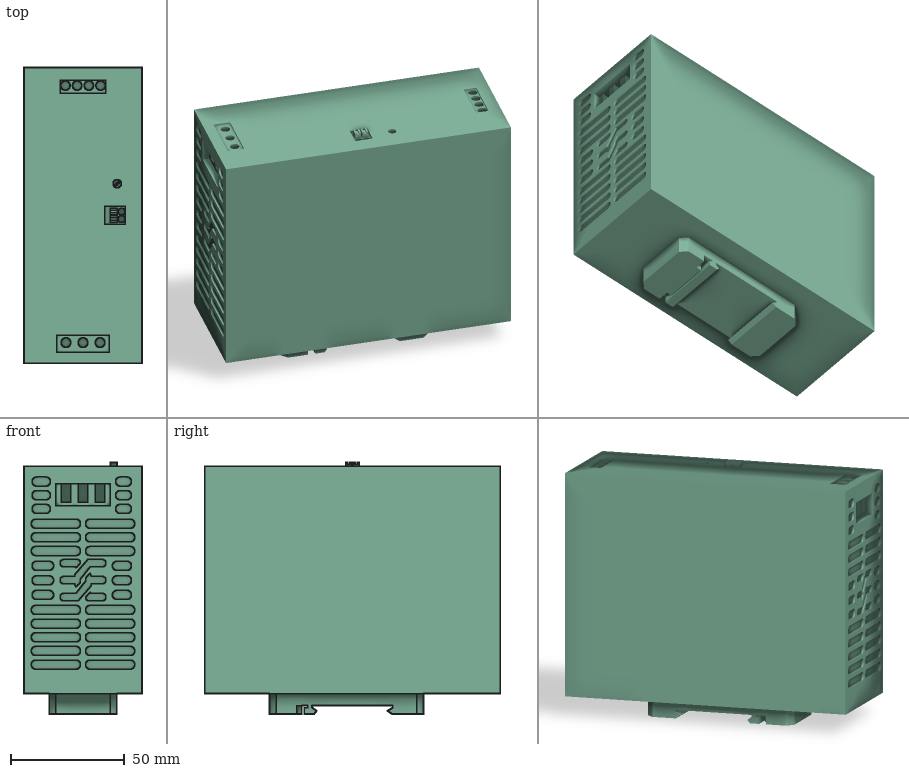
import cadquery as cq
import math


width = 52.0
length = 130.0
height = 100.0
front_y = -length / 2
back_y = length / 2

vent_depth = 1.0
slot_height = 4.0
slot_pitch = 6.0
long_slot_inner_x = 1.1
long_slot_outer_x = 22.75
upper_long_top_z = 74.7
upper_long_rows = 3
lower_long_top_z = 36.8
lower_long_rows = 5
short_slot_left_x = -22.4
short_slot_right_x = 21.3
top_short_inner_x = 14.3
top_short_z = 93.2
mid_short_inner_x = 12.9
mid_short_z = 56.2
mid_short_pitch = 6.4
short_rows = 3

slant_centre_z = 49.9
tab_half_height = 1.65
tab_end_x = 10.1
tab_offset_z = 7.45
tab_corner_x = -2.3
tab_nose = (-1.5, 8.6)
tab_tip = (-1.2, 7.4)
tab_point = (-3.1, 5.4)
tab_notch_x = -3.5
stroke_top_x = 2.1
stroke_foot = (-3.5, 2.6)
stroke_foot_x = -3.6
stroke_point_root_x = -3.7
stroke_point = (-3.1, -3.0)
stroke_side_x = -1.2
stroke_side_bottom_z = -1.1
stroke_side_top_z = 0.4
stroke_armpit_x = 3.1

input_pitch = 7.5
input_count = 3
input_recess_width = 23.0
input_recess_length = 7.5
input_recess_y = -56.45
input_screw_y = -55.9
input_screw_diameter = 4.2
input_screw_depth = 2.5
entry_recess_width = 24.0
entry_recess_top_z = 92.3
entry_recess_height = 9.8
entry_recess_depth = 3.0
entry_width = 4.25
entry_height = 8.1
entry_depth = 8.0

output_pitch = 5.15
output_count = 4
output_recess_width = 20.1
output_recess_length = 5.7
output_recess_y = 56.4
output_screw_y = 57.0
output_screw_diameter = 4.1
output_screw_depth = 2.0

terminal_recess_depth = 0.7

panel_front_y = -21.4
panel_front_half_width = 18.6
panel_corner_radius = 5.0
control_x = 15.0
lamp_y = 26.1
lamp_diameter = 6.2
trimmer_y = 13.9
trimmer_diameter = 3.6
trimmer_depth = 2.5
trimmer_slot_width = 0.7
trimmer_slot_depth = 0.5
trimmer_slot_angle = 40.0

connector_x = 14.1
connector_width = 8.9
connector_length = 8.0
connector_depth = 1.0
connector_pitch = 3.3
lever_left_x = 12.0
lever_right_x = 15.0
lever_thickness = 2.8
lever_rise = 1.6
lever_notch_width = 1.0
lever_notch_depth = 0.75
wire_hole_x = 16.95
wire_hole_diameter = 3.0
wire_hole_depth = 5.0

foot_width = 29.8
foot_height = 9.0
foot_back_y = 31.2
foot_front_y = -36.5
foot_chamfer = 3.0
rail_ceiling_z = -5.2
rail_back_y = 17.65
rail_front_y = -24.5
hook_tip_y = 15.3
tip_z = -7.5
hook_root_z = -6.1
hook_bottom_y = 17.4
latch_tip_y = -15.7
latch_bottom_y = -16.9
latch_neck_back_y = -17.7
latch_neck_front_y = -19.7
latch_shoulder_z = hook_root_z
latch_front_y = -21.2
latch_stop_y = -22.2
latch_stop_width = 20.0


def row(count, pitch):
    """Positions of `count` items spaced by `pitch` and centred on zero."""
    return [(i - (count - 1) / 2) * pitch for i in range(count)]


def cutter_from_front(outline, depth):
    """Prism of a closed X-Z outline sunk from the front face."""
    return outline.extrude(-depth)


def front_plane():
    return cq.Workplane("XZ", origin=(0, front_y, 0))


def top_plane(z=height):
    return cq.Workplane("XY", origin=(0, 0, z))


def vent_slot(x_start, x_end, z):
    outline = front_plane().center((x_start + x_end) / 2, z).slot2D(x_end - x_start, slot_height)
    return cutter_from_front(outline, vent_depth)


def vent_slots():
    long_rows = [upper_long_top_z - i * slot_pitch for i in range(upper_long_rows)]
    long_rows += [lower_long_top_z - i * slot_pitch for i in range(lower_long_rows)]
    slots = []
    for z in long_rows:
        slots.append(vent_slot(-long_slot_outer_x, -long_slot_inner_x, z))
        slots.append(vent_slot(long_slot_inner_x, long_slot_outer_x, z))
    for i in range(short_rows):
        top_z = top_short_z - i * slot_pitch
        slots.append(vent_slot(short_slot_left_x, -top_short_inner_x, top_z))
        slots.append(vent_slot(top_short_inner_x, short_slot_right_x, top_z))
        mid_z = mid_short_z - i * mid_short_pitch
        slots.append(vent_slot(short_slot_left_x, -mid_short_inner_x, mid_z))
        slots.append(vent_slot(mid_short_inner_x, short_slot_right_x, mid_z))
    return slots


def slanted_vents():
    """Two slanted outlines, each also turned half a turn about the centre."""
    r = tab_half_height
    tab_top = tab_offset_z + r
    tab_bottom = tab_offset_z - r
    end_x = tab_end_x - r
    tab = (
        front_plane()
        .center(0, slant_centre_z)
        .moveTo(-end_x, tab_top)
        .lineTo(tab_corner_x, tab_top)
        .threePointArc(tab_nose, tab_tip)
        .lineTo(*tab_point)
        .lineTo(tab_notch_x, tab_bottom)
        .lineTo(-end_x, tab_bottom)
        .threePointArc((-tab_end_x, tab_offset_z), (-end_x, tab_top))
        .close()
    )
    stroke = (
        front_plane()
        .center(0, slant_centre_z)
        .moveTo(end_x, tab_top)
        .lineTo(stroke_top_x, tab_top)
        .lineTo(*stroke_foot)
        .lineTo(stroke_foot_x, r)
        .lineTo(-end_x, r)
        .threePointArc((-tab_end_x, 0), (-end_x, -r))
        .lineTo(stroke_point_root_x, -r)
        .lineTo(*stroke_point)
        .lineTo(stroke_side_x, stroke_side_bottom_z)
        .lineTo(stroke_side_x, stroke_side_top_z)
        .lineTo(stroke_armpit_x, tab_bottom)
        .lineTo(end_x, tab_bottom)
        .threePointArc((tab_end_x, tab_offset_z), (end_x, tab_top))
        .close()
    )
    vents = []
    for outline in (tab, stroke):
        vent = cutter_from_front(outline, vent_depth)
        vents.append(vent)
        vents.append(vent.rotate((0, 0, slant_centre_z), (0, 1, slant_centre_z), 180))
    return vents


def wire_entries():
    recess = (
        front_plane()
        .center(0, entry_recess_top_z - entry_recess_height / 2)
        .rect(entry_recess_width, entry_recess_height)
    )
    entries = (
        front_plane()
        .center(0, entry_recess_top_z - entry_height / 2)
        .pushPoints([(x, 0) for x in row(input_count, input_pitch)])
        .rect(entry_width, entry_height)
    )
    return [
        cutter_from_front(recess, entry_recess_depth),
        cutter_from_front(entries, entry_recess_depth + entry_depth),
    ]


def screw_terminal(recess_y, recess_width, recess_length, screw_y, screw_xs, diameter, depth):
    recess = top_plane().center(0, recess_y).rect(recess_width, recess_length)
    screws = top_plane().pushPoints([(x, screw_y) for x in screw_xs]).circle(diameter / 2)
    return [
        recess.extrude(-terminal_recess_depth),
        screws.extrude(-terminal_recess_depth - depth),
    ]


def trimmer():
    well = top_plane().center(control_x, trimmer_y).circle(trimmer_diameter / 2)
    slot = (
        top_plane()
        .center(control_x, trimmer_y)
        .transformed(rotate=(0, 0, trimmer_slot_angle))
        .slot2D(trimmer_diameter, trimmer_slot_width)
    )
    return [well.extrude(-trimmer_depth), slot.extrude(-trimmer_depth - trimmer_slot_depth)]


def connector_cuts():
    recess = top_plane().center(connector_x, 0).rect(connector_width, connector_length)
    holes = (
        top_plane()
        .pushPoints([(wire_hole_x, y) for y in row(2, connector_pitch)])
        .circle(wire_hole_diameter / 2)
    )
    return [recess.extrude(-connector_depth), holes.extrude(-connector_depth - wire_hole_depth)]


def lever(y):
    """Lever with a screwdriver notch along X, standing on the connector recess floor."""
    middle_x = (lever_left_x + lever_right_x) / 2
    lever_length = lever_right_x - lever_left_x
    body = (
        top_plane(height - connector_depth)
        .center(middle_x, y)
        .rect(lever_length, lever_thickness)
        .extrude(connector_depth + lever_rise)
    )
    notch = (
        top_plane(height + lever_rise)
        .center(middle_x, y)
        .rect(lever_length, lever_notch_width)
        .extrude(-lever_notch_depth)
    )
    return body.cut(notch)


def panel_outline():
    """Flush tapered panel: full width at the back edge, rounded corners in front."""
    half_width = width / 2
    taper = math.atan2(half_width - panel_front_half_width, back_y - panel_front_y)
    tangent = panel_corner_radius * math.tan((math.pi / 2 - taper) / 2)
    side_x = panel_front_half_width + tangent * math.sin(taper)
    side_y = panel_front_y + tangent * math.cos(taper)
    front_x = panel_front_half_width - tangent
    return (
        top_plane()
        .moveTo(-half_width, back_y)
        .lineTo(-side_x, side_y)
        .radiusArc((-front_x, panel_front_y), -panel_corner_radius)
        .lineTo(front_x, panel_front_y)
        .radiusArc((side_x, side_y), -panel_corner_radius)
        .lineTo(half_width, back_y)
        .close()
    )


def make_housing():
    body = cq.Workplane("XY").box(width, length, height, centered=(True, True, False))
    cutters = vent_slots() + slanted_vents() + wire_entries() + trimmer() + connector_cuts()
    cutters += screw_terminal(
        input_recess_y, input_recess_width, input_recess_length,
        input_screw_y, row(input_count, input_pitch), input_screw_diameter, input_screw_depth,
    )
    cutters += screw_terminal(
        output_recess_y, output_recess_width, output_recess_length,
        output_screw_y, row(output_count, output_pitch), output_screw_diameter, output_screw_depth,
    )
    for cutter in cutters:
        body = body.cut(cutter)
    lamp = top_plane().center(control_x, lamp_y).circle(lamp_diameter / 2)
    outlines = (panel_outline(), lamp)
    dividers = [cq.Face.makeFromWires(outline.val()) for outline in outlines]
    body = cq.Workplane(body.val().split(*dividers)).solids()
    for y in row(2, connector_pitch):
        body = body.union(lever(y), clean=False)
    return body


def foot_side_plane():
    return cq.Workplane("YZ", origin=(-foot_width / 2, 0, 0))


def make_foot():
    block = (
        top_plane(0)
        .center(0, (foot_front_y + foot_back_y) / 2)
        .rect(foot_width, foot_back_y - foot_front_y)
        .extrude(-foot_height)
        .edges("|Z")
        .chamfer(foot_chamfer)
    )
    channel = (
        foot_side_plane()
        .moveTo(rail_front_y, -foot_height)
        .lineTo(rail_front_y, rail_ceiling_z)
        .lineTo(rail_back_y, rail_ceiling_z)
        .lineTo(rail_back_y, hook_root_z)
        .lineTo(hook_tip_y, tip_z)
        .lineTo(hook_bottom_y, -foot_height)
        .close()
        .extrude(foot_width)
    )
    latch = (
        foot_side_plane()
        .moveTo(latch_neck_back_y, rail_ceiling_z)
        .lineTo(latch_neck_back_y, latch_shoulder_z)
        .lineTo(latch_tip_y, tip_z)
        .lineTo(latch_bottom_y, -foot_height)
        .lineTo(latch_front_y, -foot_height)
        .lineTo(latch_front_y, latch_shoulder_z)
        .lineTo(latch_neck_front_y, latch_shoulder_z)
        .lineTo(latch_neck_front_y, rail_ceiling_z)
        .close()
        .extrude(foot_width)
    )
    stop_height = foot_height + rail_ceiling_z
    stop = (
        top_plane(rail_ceiling_z)
        .center(0, (rail_front_y + latch_stop_y) / 2)
        .rect(latch_stop_width, latch_stop_y - rail_front_y)
        .extrude(-stop_height)
    )
    return block.cut(channel).union(latch).union(stop)


housing = make_housing()
foot = make_foot()

result = cq.Compound.makeCompound([housing.val(), foot.val()])